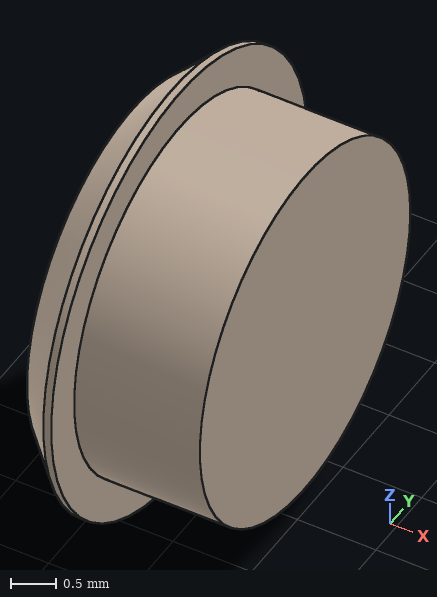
import cadquery as cq

total_length = 2.2
flange_diameter = 5.6
body_diameter = 4.6
rim_thickness = 0.1

bevel = (flange_diameter - body_diameter) / 2
flange_thickness = bevel + rim_thickness

flange = (
    cq.Workplane("YZ")
    .circle(flange_diameter / 2)
    .extrude(flange_thickness)
    .faces("<X")
    .chamfer(bevel)
)
body = cq.Workplane("YZ").circle(body_diameter / 2).extrude(total_length)

result = flange.union(body)